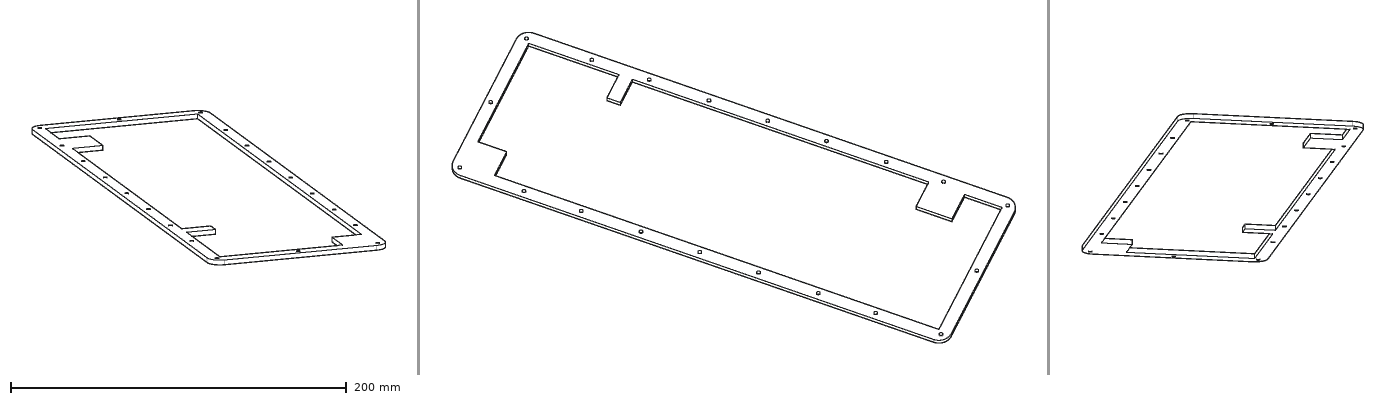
import cadquery as cq

length = 322.0
width = 112.3
thickness = 3.0
corner_radius = 8.0
rail = 8.0

inner_x = length / 2 - rail
inner_y = width / 2 - rail

wide_tab_left = -128.7
wide_tab_width = 23.2
wide_tab_reach = 19.3
narrow_tab_left = 86.0
narrow_tab_width = 8.7
narrow_tab_reach = 18.5
corner_tab_width = 18.7
corner_tab_reach = 18.7

hole_diameter = 2.2
long_rail_hole_y = 51.8
long_rail_offsets = (38.0, 76.5, 113.5)
short_rail_hole_x = 157.0
corner_hole_x = 155.5
corner_hole_y = 51.0


def frame_plate():
    """Rounded plate with the window cut along the rails and around the tabs."""
    plate = (
        cq.Workplane("XY")
        .rect(length, width)
        .extrude(thickness)
        .edges("|Z")
        .fillet(corner_radius)
    )
    wide_tab_right = wide_tab_left + wide_tab_width
    wide_tab_end = -inner_y + wide_tab_reach
    narrow_tab_right = narrow_tab_left + narrow_tab_width
    narrow_tab_end = -inner_y + narrow_tab_reach
    corner_tab_left = inner_x - corner_tab_width
    corner_tab_end = inner_y - corner_tab_reach
    window_outline = [
        (-inner_x, -inner_y),
        (wide_tab_left, -inner_y),
        (wide_tab_left, wide_tab_end),
        (wide_tab_right, wide_tab_end),
        (wide_tab_right, -inner_y),
        (narrow_tab_left, -inner_y),
        (narrow_tab_left, narrow_tab_end),
        (narrow_tab_right, narrow_tab_end),
        (narrow_tab_right, -inner_y),
        (inner_x, -inner_y),
        (inner_x, corner_tab_end),
        (corner_tab_left, corner_tab_end),
        (corner_tab_left, inner_y),
        (-inner_x, inner_y),
    ]
    window = cq.Workplane("XY").polyline(window_outline).close().extrude(thickness)
    return plate.cut(window)


def hole_centers():
    """Centers of the holes along the rails and in the corners."""
    centers = []
    for side in (-1, 1):
        centers.append((side * short_rail_hole_x, 0))
        centers.append((0, side * long_rail_hole_y))
        for end in (-1, 1):
            centers.append((end * corner_hole_x, side * corner_hole_y))
            for offset in long_rail_offsets:
                centers.append((end * offset, side * long_rail_hole_y))
    return centers


holes = (
    cq.Workplane("XY")
    .pushPoints(hole_centers())
    .circle(hole_diameter / 2)
    .extrude(thickness)
)

result = frame_plate().cut(holes)